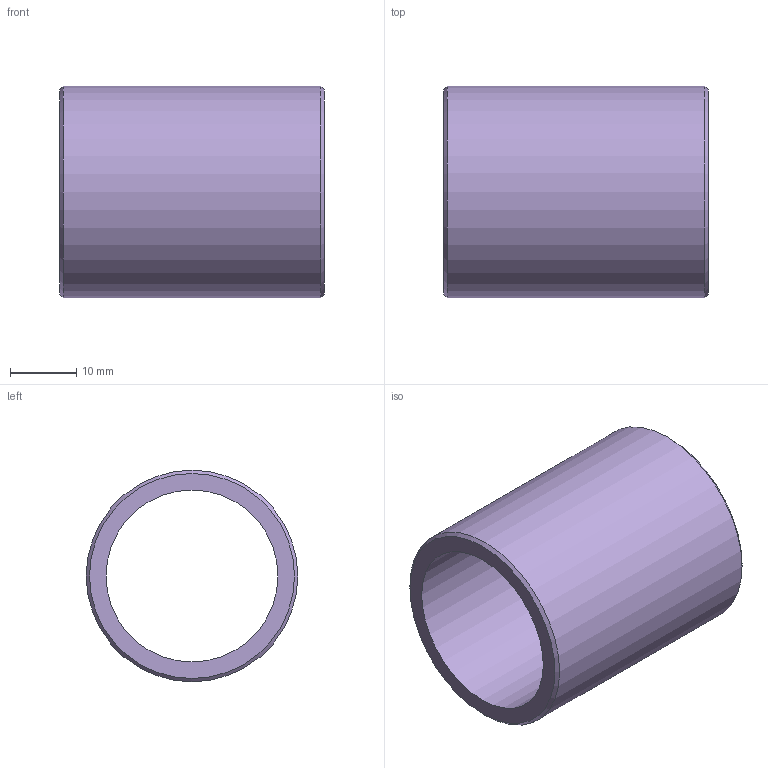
import cadquery as cq

length = 40.0
outer_diameter = 32.0
bore_diameter = 26.0
edge_chamfer = 0.5


def bushing_body():
    """Solid cylinder along X, centred on the origin, with both outer rims chamfered."""
    cylinder = (
        cq.Workplane("YZ")
        .workplane(offset=-length / 2)
        .circle(outer_diameter / 2)
        .extrude(length)
    )
    return cylinder.faces("<X or >X").edges().chamfer(edge_chamfer)


def through_bore():
    """Cylinder removed along the full length of the bushing."""
    return (
        cq.Workplane("YZ")
        .workplane(offset=-length / 2)
        .circle(bore_diameter / 2)
        .extrude(length)
    )


result = bushing_body().cut(through_bore())